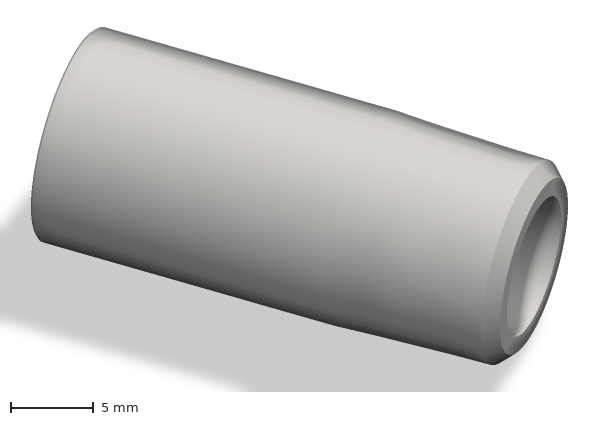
import cadquery as cq

length = 30.0
body_radius = 13.5 / 2
bore_radius = 8.8 / 2
plain_end_chamfer = 0.15
body_length = 19.0
nose_radius = 12.85 / 2
nose_chamfer = 0.88

taper_end = length - nose_chamfer


def make_sleeve():
    """Revolve the wall section, from bore to outer surface, around the X axis."""
    wall = (
        cq.Workplane("XZ")
        .moveTo(0, bore_radius)
        .lineTo(0, body_radius - plain_end_chamfer)
        .lineTo(plain_end_chamfer, body_radius)
        .lineTo(body_length, body_radius)
        .lineTo(taper_end, nose_radius)
        .lineTo(length, nose_radius - nose_chamfer)
        .lineTo(length, bore_radius)
        .close()
    )
    return wall.revolve(360, (0, 0, 0), (1, 0, 0))


result = make_sleeve()